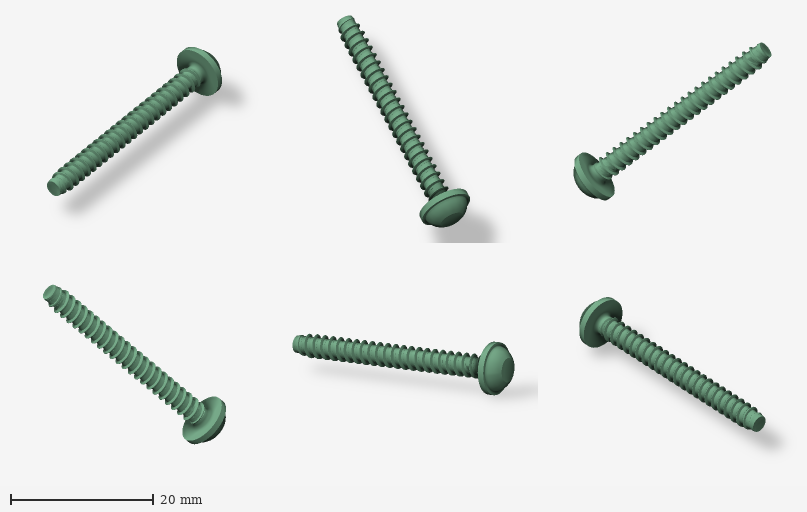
import cadquery as cq


overall_length = 34.7
head_height = 2.7
tip_height = overall_length - head_height

flange_radius = 3.75
flange_thickness = 0.9
dome_base_radius = 3.23
dome_base_fillet = 0.1
dome_middle_radius = 2.85
dome_middle_height = 1.8
dome_top_radius = 1.75

neck_radius = 1.42
neck_fillet = 0.45
neck_end = 0.95
core_radius = 1.2
core_start = 1.1
tip_dish_depth = 0.15

crest_radius = 1.75
crest_width = 0.052
ridge_width = 0.3
head_foot_radius = 1.25
head_foot_reach = 0.45
tip_foot_radius = 1.32
tip_foot_reach = 0.8
foot_end_height = 0.017
foot_root_depth = 0.1
thread_turns = 24.8
pitch = tip_height / thread_turns
thread_offset = 0.052

thread_start = 0.7
thread_full_start = 1.75
thread_full_end = 29.5
thread_end = 31.92
envelope_clearance = 0.07


def make_head():
    return (
        cq.Workplane("XZ")
        .lineTo(flange_radius, 0)
        .lineTo(flange_radius, -flange_thickness)
        .lineTo(dome_base_radius + dome_base_fillet, -flange_thickness)
        .radiusArc((dome_base_radius, -flange_thickness - dome_base_fillet), -dome_base_fillet)
        .threePointArc((dome_middle_radius, -dome_middle_height), (dome_top_radius, -head_height))
        .lineTo(0, -head_height)
        .close()
        .revolve(360, (0, 0), (0, 1))
    )


def make_shank():
    dish_radius = (core_radius**2 + tip_dish_depth**2) / (2 * tip_dish_depth)
    return (
        cq.Workplane("XZ")
        .moveTo(0, -flange_thickness)
        .lineTo(neck_radius + neck_fillet, -flange_thickness)
        .lineTo(neck_radius + neck_fillet, 0)
        .radiusArc((neck_radius, neck_fillet), neck_fillet)
        .lineTo(neck_radius, neck_end)
        .lineTo(core_radius, core_start)
        .lineTo(core_radius, tip_height)
        .radiusArc((0, tip_height - tip_dish_depth), dish_radius)
        .close()
        .revolve(360, (0, 0), (0, 1))
    )


def make_thread():
    root_radius = core_radius - foot_root_depth
    foot_end_radius = core_radius + foot_end_height
    profile = [
        (root_radius, -head_foot_reach),
        (foot_end_radius, -head_foot_reach),
        (head_foot_radius, -ridge_width / 2),
        (crest_radius, -crest_width / 2),
        (crest_radius, crest_width / 2),
        (tip_foot_radius, ridge_width / 2),
        (foot_end_radius, tip_foot_reach),
        (root_radius, tip_foot_reach),
    ]
    helix = cq.Workplane(obj=cq.Wire.makeHelix(pitch, tip_height, core_radius))
    ridge = (
        cq.Workplane("XZ")
        .polyline(profile)
        .close()
        .sweep(helix, isFrenet=True)
        .translate((0, 0, thread_offset))
    )
    envelope_radius = crest_radius + envelope_clearance
    envelope = (
        cq.Workplane("XZ")
        .moveTo(0, thread_start)
        .lineTo(neck_radius, thread_start)
        .lineTo(envelope_radius, thread_full_start)
        .lineTo(envelope_radius, thread_full_end)
        .lineTo(core_radius, thread_end)
        .lineTo(0, thread_end)
        .close()
        .revolve(360, (0, 0), (0, 1))
    )
    return ridge.intersect(envelope)


screw = make_head().union(make_shank()).union(make_thread())
result = screw.rotate((0, 0, 0), (1, 0, 0), 90)